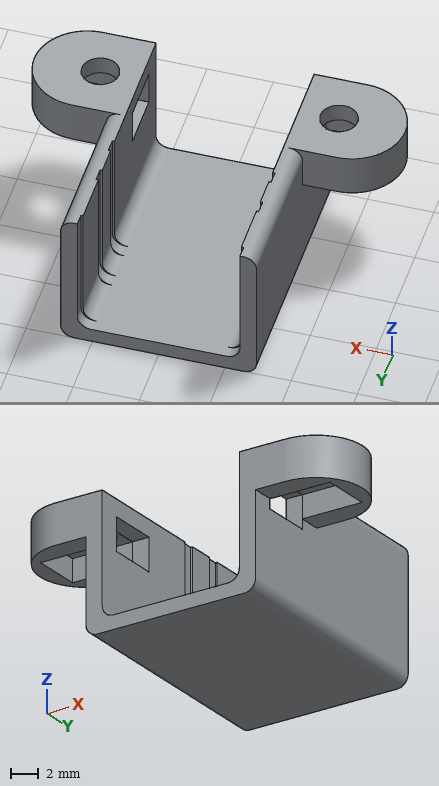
import cadquery as cq

length = 20.0
height = 11.4
outer_width = 14.78
wall = 1.43
floor = 1.18
outer_radius = 1.0
inner_radius = 0.98
inner_width = outer_width - 2 * wall

span = 28.0
lug_width = 8.0
lug_thickness = 3.4
lug_radius = lug_width / 2
lug_center_y = lug_width / 2
hole_diameter = 2.8
hole_spacing = 18.0

pocket_width = 4.2
pocket_bottom_depth = 4.2
pocket_roof = 1.45
pocket_reach = 12.6
window_clearance = 0.03

groove_depth = 0.17
groove_radius = 1.05
groove_width = 1.0
groove_offsets = (-0.05, 4.93, 8.15)


def make_box(width, depth, tall, y, z):
    """Box centred on X, starting at the given Y and Z."""
    return cq.Workplane("XY").box(width, depth, tall, centered=(True, False, False)).translate((0, y, z))


def channel_void(width, depth, y, radius):
    """Interior of the channel with rounded lower corners."""
    void = make_box(width, depth, height, y, floor)
    return void.edges("|Y and <Z").fillet(radius)


def nut_passage(width, clearance):
    """Passage across both walls, enlarged by the clearance at its sides and top."""
    passage_width = pocket_width + 2 * clearance
    passage_height = pocket_bottom_depth - pocket_roof + clearance
    passage_y = lug_center_y - passage_width / 2
    return make_box(width, passage_width, passage_height, passage_y, height - pocket_bottom_depth)


body = make_box(outer_width, length, height, 0, 0).edges("|Y").fillet(outer_radius)

lugs = (
    cq.Workplane("XY", origin=(0, lug_center_y, height - lug_thickness))
    .slot2D(span, 2 * lug_radius)
    .extrude(lug_thickness)
)
body = body.union(lugs)

body = body.cut(channel_void(inner_width, length, 0, inner_radius))
for offset in groove_offsets:
    groove_y = length - offset - groove_width
    groove = channel_void(inner_width + 2 * groove_depth, groove_width, groove_y, groove_radius)
    body = body.cut(groove)

body = body.cut(nut_passage(2 * pocket_reach, 0))
body = body.cut(nut_passage(outer_width, window_clearance))

holes = (
    cq.Workplane("XY", origin=(0, lug_center_y, height - lug_thickness))
    .pushPoints([(-hole_spacing / 2, 0), (hole_spacing / 2, 0)])
    .circle(hole_diameter / 2)
    .extrude(lug_thickness)
)
result = body.cut(holes)